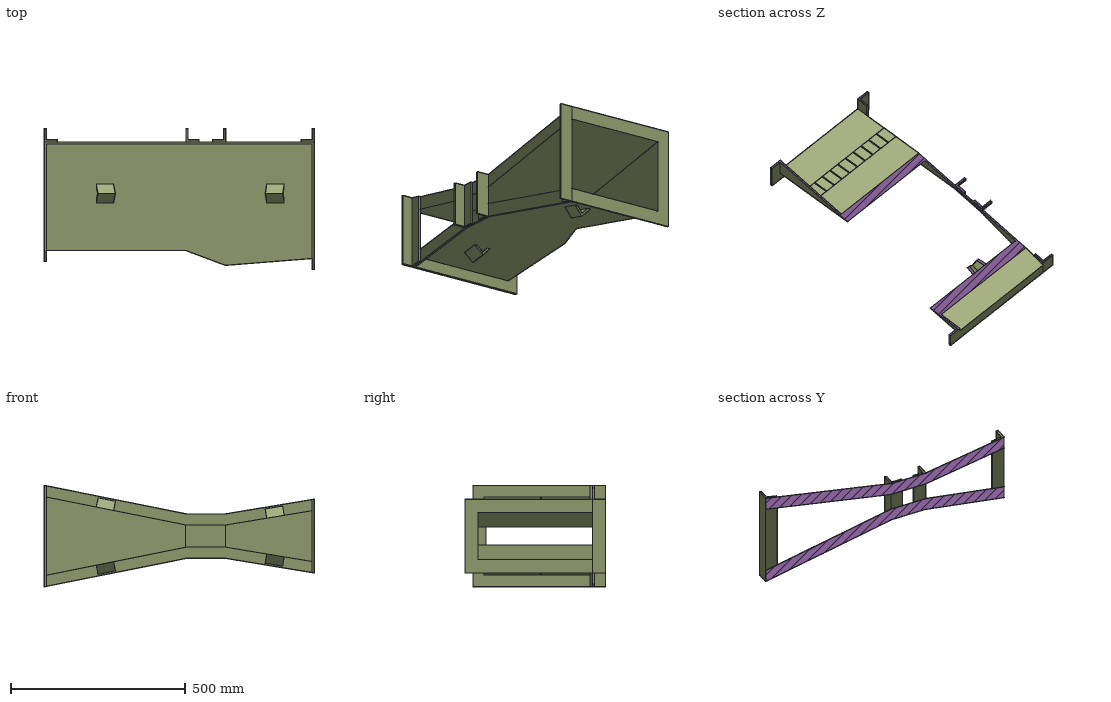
import cadquery as cq
import math


INCH = 25.4
SHEET = 0.25 * INCH
FLANGE_REACH = 1.5 * INCH
DEPTH = 12 * INCH

INLET_LENGTH = 16 * INCH
THROAT_LENGTH = 4.5 * INCH
OUTLET_LENGTH = 10 * INCH
INLET_WIDTH = 8.40625 * INCH
THROAT_WIDTH = 2 * INCH
OUTLET_WIDTH = 5.3125 * INCH
THROAT_DROP = 1.6875 * INCH
OUTLET_DROP = 22.75

ANGLE_LEG = 1.5 * INCH

LUG_SHEET = 0.25 * INCH
LUG_LENGTH = 2 * INCH
LUG_RIDGE_Y = 157.2
INLET_LUG_X = 174.4
OUTLET_LUG_X = 663.0

GAUGE_WIDTH = 2 * INCH
GAUGE_SHEET = 0.5
GAUGE_DIVISIONS = 10
GROOVE_WIDTH = 2.5
GROOVE_DEPTH = 0.3

THROAT_START = INLET_LENGTH
THROAT_END = THROAT_START + THROAT_LENGTH
LENGTH = THROAT_END + OUTLET_LENGTH
INLET_TAPER = (INLET_WIDTH - THROAT_WIDTH) / 2
OUTLET_TAPER = (OUTLET_WIDTH - THROAT_WIDTH) / 2
INLET_ANGLE = math.atan2(INLET_TAPER, INLET_LENGTH)
OUTLET_ANGLE = math.atan2(OUTLET_TAPER, OUTLET_LENGTH)

WALL_CHAIN = [
    (0, INLET_WIDTH / 2),
    (THROAT_START, THROAT_WIDTH / 2),
    (THROAT_END, THROAT_WIDTH / 2),
    (LENGTH, OUTLET_WIDTH / 2),
]
FLOOR_CHAIN = [(0, 0), (THROAT_START, 0), (THROAT_END, THROAT_DROP), (LENGTH, OUTLET_DROP)]


def offset_chain(chain, distance):
    """Move each stretch outward square to itself, keeping both ends of the chain at their X."""
    angles = [math.atan2(v2 - v1, x2 - x1) for (x1, v1), (x2, v2) in zip(chain, chain[1:])]
    moved = [(chain[0][0], chain[0][1] + distance / math.cos(angles[0]))]
    for (x, v), before, after in zip(chain[1:-1], angles, angles[1:]):
        mitre = distance / math.cos((after - before) / 2)
        middle = (before + after) / 2
        moved.append((x - mitre * math.sin(middle), v + mitre * math.cos(middle)))
    moved.append((chain[-1][0], chain[-1][1] + distance / math.cos(angles[-1])))
    return moved


RIM_CHAIN = offset_chain(WALL_CHAIN, FLANGE_REACH)
INLET_RIM = RIM_CHAIN[0][1]
OUTLET_RIM = RIM_CHAIN[-1][1]
RIM_FLOOR = offset_chain(FLOOR_CHAIN, FLANGE_REACH)
INLET_RIM_DROP = RIM_FLOOR[0][1]
OUTLET_RIM_DROP = RIM_FLOOR[-1][1]


def plan_prism(offset, y_low, y_high):
    """The channel's plan outline, widened by `offset`, standing between two heights."""
    side = offset_chain(WALL_CHAIN, offset)
    other_side = [(x, -z) for x, z in reversed(side)]
    prism = cq.Workplane("XZ").polyline(side + other_side).close().extrude(y_low - y_high)
    return prism.translate((0, y_low, 0))


def channel_prism(offset):
    """The channel's inside, with walls and floor moved outward by `offset`."""
    floor = [(x, -drop) for x, drop in offset_chain(FLOOR_CHAIN, offset)]
    side_outline = floor + [(LENGTH, DEPTH), (0, DEPTH)]
    silhouette = cq.Workplane("XY").polyline(side_outline).close().extrude(INLET_WIDTH, both=True)
    return silhouette.intersect(plan_prism(offset, -DEPTH, DEPTH))


def end_flange(x, half_height, drop):
    plate = cq.Workplane("XY").box(SHEET, DEPTH + drop, 2 * half_height, centered=(False, False, True))
    return plate.translate((x, -drop, 0))


def make_flume():
    """Open-topped channel with a lip along its top and a flange at each end; rims follow the wall taper."""
    flume = channel_prism(SHEET)
    flume = flume.union(plan_prism(FLANGE_REACH, DEPTH - SHEET, DEPTH))
    flanges = end_flange(0, INLET_RIM, INLET_RIM_DROP)
    flanges = flanges.union(end_flange(LENGTH - SHEET, OUTLET_RIM, OUTLET_RIM_DROP))
    flume = flume.union(flanges.intersect(plan_prism(FLANGE_REACH, -DEPTH, DEPTH)))
    return flume.cut(channel_prism(0))


def make_brace(x, direction):
    """Angle bar across the open top: upright leg at `x`, flat leg toward `direction`, ends cut to the lip."""
    section = [
        (0, 0),
        (ANGLE_LEG, 0),
        (ANGLE_LEG, SHEET),
        (SHEET, SHEET),
        (SHEET, ANGLE_LEG),
        (0, ANGLE_LEG),
    ]
    points = [(x + direction * along, DEPTH + up) for along, up in section]
    bar = cq.Workplane("XY").polyline(points).close().extrude(INLET_RIM, both=True)
    return bar.intersect(plan_prism(FLANGE_REACH, DEPTH, DEPTH + ANGLE_LEG))


def make_lug(x, side):
    """Angle piece with both toes flat on the outside of the wall on `side` (+1 or -1 in Z), ridge outward."""
    outer = ANGLE_LEG / math.sqrt(2)
    inner = outer - LUG_SHEET * math.sqrt(2)
    section = [(-outer, 0), (0, outer), (outer, 0), (inner, 0), (0, inner), (-inner, 0)]
    lug = cq.Workplane("YZ").polyline(section).close().extrude(LUG_LENGTH / 2, both=True)

    if x < THROAT_START:
        rise = -math.tan(INLET_ANGLE)
        end_x, end_z = offset_chain(WALL_CHAIN, SHEET)[0]
    else:
        rise = math.tan(OUTLET_ANGLE)
        end_x, end_z = offset_chain(WALL_CHAIN, SHEET)[-1]
    wall_z = end_z + rise * (x - end_x)
    lug = lug.rotate((0, 0, 0), (0, 1, 0), -math.degrees(math.atan(rise)))
    lug = lug.translate((x, LUG_RIDGE_Y, wall_z))
    return lug if side > 0 else lug.mirror("XY")


def make_gauge():
    """Staff gauge inside the -Z inlet wall, centred two thirds of the wall length before the throat."""
    from_throat = 2 / 3 * math.hypot(INLET_LENGTH, INLET_TAPER)
    gauge = cq.Workplane("XY").box(GAUGE_WIDTH, DEPTH, GAUGE_SHEET, centered=(True, False, False))
    groove = cq.Workplane("XY").box(GAUGE_WIDTH, GROOVE_WIDTH, GROOVE_DEPTH, centered=(True, True, False))
    for mark in range(1, GAUGE_DIVISIONS):
        mark_y = mark * DEPTH / GAUGE_DIVISIONS
        gauge = gauge.cut(groove.translate((0, mark_y, GAUGE_SHEET - GROOVE_DEPTH)))
    gauge = gauge.translate((-from_throat, 0, 0))
    gauge = gauge.rotate((0, 0, 0), (0, 1, 0), -math.degrees(INLET_ANGLE))
    return gauge.translate((THROAT_START, 0, -THROAT_WIDTH / 2))


flume = make_flume()
gauge = make_gauge()

BRACE_PLACES = [(0, 1), (THROAT_START, 1), (THROAT_END, -1), (LENGTH, -1)]
braces = [make_brace(x, direction) for x, direction in BRACE_PLACES]

lugs = []
for lug_x in (INLET_LUG_X, OUTLET_LUG_X):
    for lug_side in (1, -1):
        lugs.append(make_lug(lug_x, lug_side))

result = cq.Compound.makeCompound(
    [flume.val(), gauge.val(), *[brace.val() for brace in braces], *[lug.val() for lug in lugs]]
)